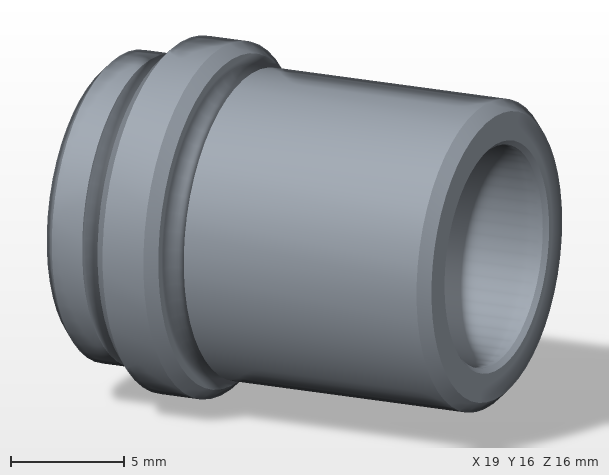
import cadquery as cq

length = 19.0
body_radius = 14.0 / 2
flange_radius = 16.0 / 2
bore_radius = 10.0 / 2
flange_start = 3.0
flange_width = 3.0
groove_width = 1.0
outer_chamfer = 0.5
bore_chamfer = 0.2

flange_end = flange_start + flange_width
groove_radius = groove_width / 2
groove_floor = body_radius - groove_radius


def revolve_about_x(profile):
    return profile.close().revolve(360, (0, 0, 0), (1, 0, 0))


def sleeve_body():
    """Revolved outer shape: collar, groove, flange, groove and long barrel."""
    profile = (
        cq.Workplane("XY")
        .moveTo(0, 0)
        .lineTo(0, body_radius - outer_chamfer)
        .lineTo(outer_chamfer, body_radius)
        .lineTo(flange_start - groove_width, body_radius)
        .threePointArc((flange_start - groove_radius, groove_floor), (flange_start, body_radius))
        .lineTo(flange_start, flange_radius - outer_chamfer)
        .lineTo(flange_start + outer_chamfer, flange_radius)
        .lineTo(flange_end - outer_chamfer, flange_radius)
        .lineTo(flange_end, flange_radius - outer_chamfer)
        .lineTo(flange_end, body_radius)
        .threePointArc((flange_end + groove_radius, groove_floor), (flange_end + groove_width, body_radius))
        .lineTo(length - outer_chamfer, body_radius)
        .lineTo(length, body_radius - outer_chamfer)
        .lineTo(length, 0)
    )
    return revolve_about_x(profile)


def bore():
    """Through bore, widened by a small chamfer at both ends."""
    mouth_radius = bore_radius + bore_chamfer
    profile = (
        cq.Workplane("XY")
        .moveTo(0, 0)
        .lineTo(0, mouth_radius)
        .lineTo(bore_chamfer, bore_radius)
        .lineTo(length - bore_chamfer, bore_radius)
        .lineTo(length, mouth_radius)
        .lineTo(length, 0)
    )
    return revolve_about_x(profile)


result = sleeve_body().cut(bore())